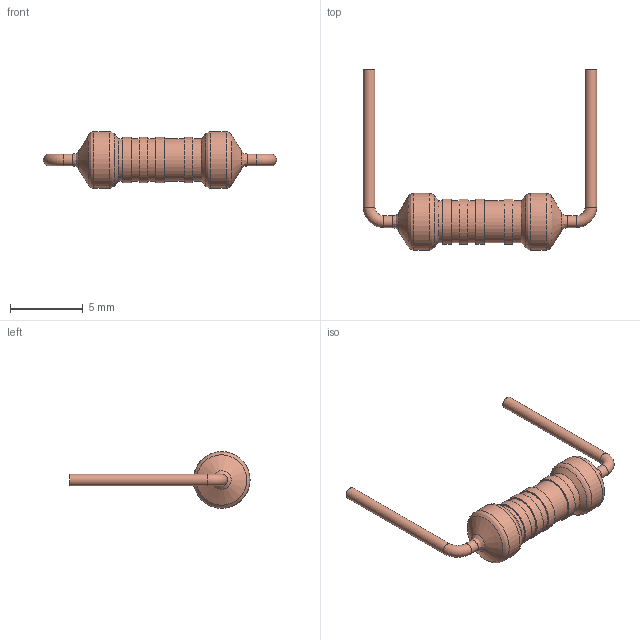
import cadquery as cq

LEAD_PITCH = 15.24
LEAD_RADIUS = 0.4
BEND_RADIUS = 1.0
LEAD_TIP_Y = 10.43

CAP_RADIUS = 1.95
CORE_RADIUS = 1.45
CAP_INNER_X = 2.84
SHOULDER_LENGTH = 0.45
CAP_OUTER_X = 4.8
CONE_TIP_X = 5.73
CAP_FILLET = 0.46
LEAD_FILLET = 0.5

BAND_RADIUS = 1.56
BAND_WIDTH = 0.6
BAND_CENTRES = (-2.27, -1.14, 0.0, 1.965)

LEAD_X = LEAD_PITCH / 2
BEND_START_X = LEAD_X - BEND_RADIUS
PICK_TOLERANCE = 0.01


def plane_slab(x):
    """Selector for edges lying in the plane at x."""
    return cq.selectors.BoxSelector(
        (x - PICK_TOLERANCE, -CAP_RADIUS, -CAP_RADIUS),
        (x + PICK_TOLERANCE, CAP_RADIUS, CAP_RADIUS),
    )


def circles_at(body, x):
    """Circular edges of the body in the two planes at -x and +x."""
    return body.edges(plane_slab(x) + plane_slab(-x)).edges("%CIRCLE")


def make_body():
    """Core, two bulging end caps and the straight lead stubs."""
    shoulder_x = CAP_INNER_X + SHOULDER_LENGTH
    right_half = [
        (CAP_INNER_X, CORE_RADIUS),
        (shoulder_x, CAP_RADIUS),
        (CAP_OUTER_X, CAP_RADIUS),
        (CONE_TIP_X, LEAD_RADIUS),
        (BEND_START_X, LEAD_RADIUS),
        (BEND_START_X, 0),
    ]
    left_half = [(-x, r) for x, r in reversed(right_half)]
    outline = cq.Workplane("XY").polyline(left_half + right_half).close()
    body = outline.revolve(360, (0, 0, 0), (1, 0, 0))
    body = circles_at(body, shoulder_x).fillet(CAP_FILLET)
    body = circles_at(body, CAP_OUTER_X).fillet(CAP_FILLET)
    return circles_at(body, CONE_TIP_X).fillet(LEAD_FILLET)


def make_bent_lead():
    """Right-hand lead: a quarter bend from +X to +Y, then a straight leg."""
    bend_section = cq.Workplane("YZ", origin=(BEND_START_X, 0, 0)).circle(LEAD_RADIUS)
    bend = bend_section.revolve(90, (BEND_RADIUS, 0, 0), (BEND_RADIUS, 1, 0))
    leg_section = cq.Workplane("XZ", origin=(LEAD_X, BEND_RADIUS, 0)).circle(LEAD_RADIUS)
    leg = leg_section.extrude(BEND_RADIUS - LEAD_TIP_Y)
    return bend.union(leg)


def make_band(centre_x):
    """Colour band as a solid disc centred at the given X position."""
    section = cq.Workplane("YZ", origin=(centre_x, 0, 0)).circle(BAND_RADIUS)
    return section.extrude(BAND_WIDTH / 2, both=True)


result = make_body()
for band_centre in BAND_CENTRES:
    result = result.union(make_band(band_centre))

right_lead = make_bent_lead()
result = result.union(right_lead).union(right_lead.mirror("YZ"))